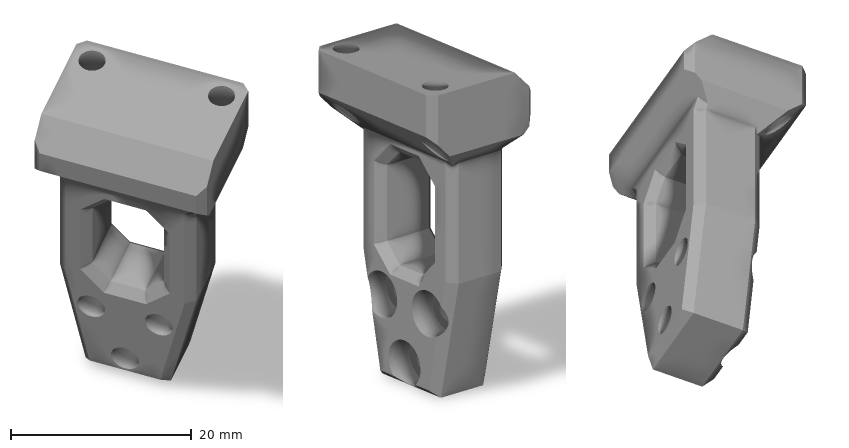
import cadquery as cq
import math

height = 38.35
head_width = 20.3
head_depth = 15.08
neck_thickness = 8.17
neck_width = 16.1
side_overhang = (head_width - neck_width) / 2
neck_front = -neck_thickness / 2
neck_back = neck_thickness / 2

front_overhang = 2.25
head_front = neck_front - front_overhang
head_back = head_front + head_depth
head_top_bevel = 3.03
head_corner_bevel = 0.92
underside_meets_back = 28.75
underside_meets_front = 30.2
underside_meets_side = 28.65
head_root = 27.8

taper_start = 14.35
tip_width = 10.05
edge_bevel = 1.05
tip_bevel = 0.9

window_width = 8.45
window_bottom = 13.7
window_top = 27.05
window_corner = 2.2

screw_diameter = 3.3
counterbore_diameter = 5.5
counterbore_depth = 3.0
screw_places = [(-4.0, 9.85), (4.0, 9.85), (0, 2.85)]
head_hole_diameter = 3.0
head_hole_spacing = 15.25
head_hole_back_distance = 2.65


def prism_y(points, front, back):
    """Extrude an XZ outline from front to back along Y."""
    plane = cq.Workplane("XZ", origin=(0, front, 0))
    return plane.polyline(points).close().extrude(front - back)


def bevel_frustum(face_points, inner_points, face_y, inner_y):
    """Loft between two matching XZ outlines at different depths."""
    face = cq.Workplane("XZ", origin=(0, face_y, 0)).polyline(face_points).close()
    inner = face.workplane(offset=face_y - inner_y).polyline(inner_points).close()
    return inner.loft(ruled=True, combine=True)


def make_head():
    """Head with 45-degree undersides on all four sides, running into the neck."""
    rear_overhang = head_back - neck_back
    side_profile = [
        (head_front + head_top_bevel, height),
        (head_back, height),
        (head_back, underside_meets_back + rear_overhang),
        (neck_back - (underside_meets_back - head_root), head_root),
        (neck_front + (underside_meets_front - head_root), head_root),
        (head_front, underside_meets_front + front_overhang),
        (head_front, height - head_top_bevel),
    ]
    root_half_width = neck_width / 2 - (underside_meets_side - head_root)
    front_profile = [
        (-head_width / 2, height),
        (head_width / 2, height),
        (head_width / 2, underside_meets_side + side_overhang),
        (root_half_width, head_root),
        (-root_half_width, head_root),
        (-head_width / 2, underside_meets_side + side_overhang),
    ]
    head = cq.Workplane("YZ").polyline(side_profile).close().extrude(head_width / 2, both=True)
    head = head.intersect(prism_y(front_profile, head_front, head_back))
    plan = (
        cq.Workplane("XY")
        .center(0, (head_front + head_back) / 2)
        .rect(head_width, head_depth)
        .extrude(height)
        .edges("|Z")
        .chamfer(head_corner_bevel)
    )
    return head.intersect(plan)


def neck_outline(side_inset, tip_inset):
    """Neck outline flared 45 degrees into the head, moved inward at its sides and at its tip."""
    taper_angle = math.atan2((neck_width - tip_width) / 2, taper_start)
    half_width = neck_width / 2 - side_inset
    taper_z = taper_start + side_inset * math.tan(taper_angle / 2)
    tip_half_width = half_width - (taper_z - tip_inset) * math.tan(taper_angle)
    flare_z = underside_meets_side + side_inset * math.tan(math.radians(45 / 2))
    flared_half_width = half_width + side_overhang
    neck_top = underside_meets_front + front_overhang
    return [
        (-tip_half_width, tip_inset),
        (tip_half_width, tip_inset),
        (half_width, taper_z),
        (half_width, flare_z),
        (flared_half_width, flare_z + side_overhang),
        (flared_half_width, neck_top),
        (-flared_half_width, neck_top),
        (-flared_half_width, flare_z + side_overhang),
        (-half_width, flare_z),
        (-half_width, taper_z),
    ]


def make_neck():
    """Tapered neck with front and back edges bevelled, its flared top buried in the head."""
    outer = neck_outline(0, 0)
    inner = neck_outline(edge_bevel, tip_bevel)
    neck = prism_y(outer, neck_front + edge_bevel, neck_back - edge_bevel)
    for face_y, side in ((neck_front, 1), (neck_back, -1)):
        neck = neck.union(bevel_frustum(inner, outer, face_y, face_y + side * edge_bevel))
    return neck


def window_outline(growth):
    """Octagonal window outline, grown outward by a constant distance."""
    half_width = window_width / 2 + growth
    bottom = window_bottom - growth
    top = window_top + growth
    corner = window_corner + growth * (2 - math.sqrt(2))
    return [
        (-half_width + corner, bottom),
        (half_width - corner, bottom),
        (half_width, bottom + corner),
        (half_width, top - corner),
        (half_width - corner, top),
        (-half_width + corner, top),
        (-half_width, top - corner),
        (-half_width, bottom + corner),
    ]


def make_window():
    """Cutter for the window and the bevels around both of its rims."""
    inner = window_outline(0)
    outer = window_outline(edge_bevel)
    cutter = prism_y(inner, neck_front, neck_back)
    for face_y, side in ((neck_front, 1), (neck_back, -1)):
        cutter = cutter.union(bevel_frustum(outer, inner, face_y, face_y + side * edge_bevel))
    return cutter


def make_screw_holes():
    """Cutter for the neck screw holes, counterbored from the back."""
    back_plane = cq.Workplane("XZ", origin=(0, neck_back, 0)).pushPoints(screw_places)
    shafts = back_plane.circle(screw_diameter / 2).extrude(neck_thickness)
    bores = back_plane.circle(counterbore_diameter / 2).extrude(counterbore_depth)
    return shafts.union(bores)


def make_head_holes():
    """Cutter for the two vertical holes through the rear of the head."""
    hole_y = head_back - head_hole_back_distance
    return (
        cq.Workplane("XY")
        .pushPoints([(side * head_hole_spacing / 2, hole_y) for side in (-1, 1)])
        .circle(head_hole_diameter / 2)
        .extrude(height)
    )


body = make_head().union(make_neck())
result = body.cut(make_window()).cut(make_screw_holes()).cut(make_head_holes())